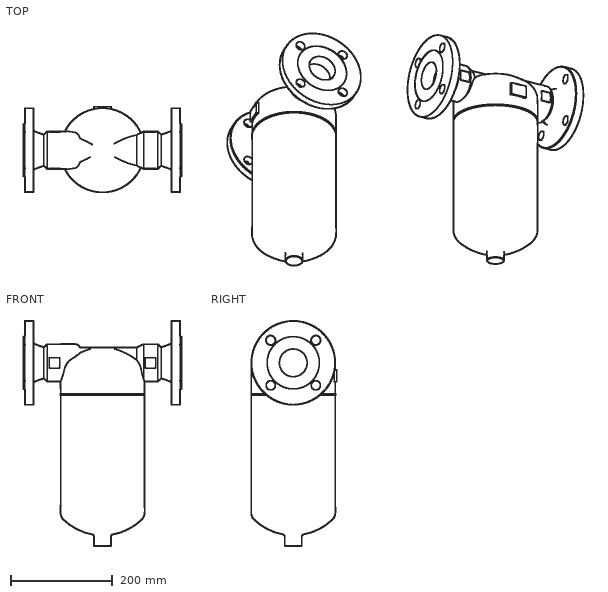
import cadquery as cq
import math


face_to_face = 310.0
flange_diameter = 165.0
flange_thickness = 17.5
flange_rim_chamfer = 1.5
raised_face_diameter = 102.5
raised_face_height = 2.5
bolt_hole_diameter = 18.0
bolt_circle_diameter = 125.2
bolt_count = 4
first_bolt_angle = 45
bore_diameter = 54.5
bore_depth = 28.0

hub_diameter = 73.0
hub_fillet = 3.5
neck_diameter = 61.5
neck_x = 115.0
socket_diameter = 74.0
socket_end_x = 109.0
pipe_diameter = 60.5

inlet_shoulder_x = -54.0
inlet_shoulder_radius = 10.0
inlet_root_fillet = 2.5
outlet_shoulder_x = 80.5
outlet_shoulder_length = 13.3

pad_size = 21.0
pad_corner_radius = 1.8
pad_center_x = 94.3

body_diameter = 165.0
bead_diameter = 166.0
top_crown_radius = 121.2
top_knuckle_radius = 28.0
bead_top_z = -60.5
bead_height = 2.5
skirt_top_z = -280.0
skirt_lip = 4.0
skirt_bottom_z = -293.5
bottom_crown_radius = 110.5
bottom_knuckle_radius = 20.5
drain_diameter = 34.0
drain_tip_diameter = 32.0
drain_root_fillet = 3.5
overall_height = 442.5

plate_width = 33.5
plate_top_z = -13.5
plate_bottom_z = -37.5
plate_face_y = 86.0

body_radius = body_diameter / 2
bead_radius = bead_diameter / 2
pipe_radius = pipe_diameter / 2
socket_radius = socket_diameter / 2
flange_radius = flange_diameter / 2
face_x = face_to_face / 2
flange_front_x = face_x - raised_face_height
flange_back_x = flange_front_x - flange_thickness
drain_tip_z = flange_radius - overall_height


def revolve_about_x(outline):
    return outline.close().revolve(360, (0, 0, 0), (1, 0, 0))


def polar_point(center, radius, angle):
    """Point at a given radius and angle from a centre."""
    return (center[0] + radius * math.cos(angle), center[1] + radius * math.sin(angle))


def make_pipe():
    """Slim pipe with a rounded inlet socket (-X) and a rounded outlet socket (+X)."""
    shoulder_center_r = socket_radius - inlet_shoulder_radius
    root_center_r = pipe_radius + inlet_root_fillet
    center_distance = inlet_shoulder_radius + inlet_root_fillet
    blend_angle = math.asin((root_center_r - shoulder_center_r) / center_distance)
    shoulder_center = (inlet_shoulder_x, shoulder_center_r)
    root_center = polar_point(shoulder_center, center_distance, blend_angle)
    blend_point = polar_point(shoulder_center, inlet_shoulder_radius, blend_angle)
    shoulder_mid = polar_point(shoulder_center, inlet_shoulder_radius, (blend_angle + math.pi / 2) / 2)
    root_mid = polar_point(root_center, inlet_root_fillet, (blend_angle + 2.5 * math.pi) / 2)

    outline = (
        cq.Workplane("XY")
        .moveTo(-neck_x, 0)
        .lineTo(-neck_x, neck_diameter / 2)
        .lineTo(-socket_end_x, socket_radius)
        .lineTo(inlet_shoulder_x, socket_radius)
        .threePointArc(shoulder_mid, blend_point)
        .threePointArc(root_mid, (root_center[0], pipe_radius))
        .lineTo(outlet_shoulder_x - outlet_shoulder_length, pipe_radius)
        .lineTo(outlet_shoulder_x, socket_radius)
        .lineTo(socket_end_x, socket_radius)
        .lineTo(neck_x, neck_diameter / 2)
        .lineTo(neck_x, 0)
    )
    return revolve_about_x(outline)


def make_flange():
    """Weld-neck flange on the +X end, with its bolt holes and blind bore."""
    hub_radius = hub_diameter / 2
    face_radius = raised_face_diameter / 2
    quarter = math.pi / 4
    hub_center = (flange_back_x - hub_fillet, hub_radius + hub_fillet)
    foot_center = (face_x, face_radius + raised_face_height)
    outline = (
        cq.Workplane("XY")
        .moveTo(neck_x, 0)
        .lineTo(neck_x, neck_diameter / 2)
        .lineTo(hub_center[0], hub_radius)
        .threePointArc(polar_point(hub_center, hub_fillet, -quarter), (flange_back_x, hub_center[1]))
        .lineTo(flange_back_x, flange_radius - flange_rim_chamfer)
        .lineTo(flange_back_x + flange_rim_chamfer, flange_radius)
        .lineTo(flange_front_x, flange_radius)
        .lineTo(flange_front_x, foot_center[1])
        .threePointArc(polar_point(foot_center, raised_face_height, 5 * quarter), (face_x, face_radius))
        .lineTo(face_x, 0)
    )
    bolt_holes = (
        cq.Workplane("YZ", origin=(flange_back_x, 0, 0))
        .polarArray(bolt_circle_diameter / 2, first_bolt_angle, 360, bolt_count)
        .circle(bolt_hole_diameter / 2)
        .extrude(flange_thickness + raised_face_height)
    )
    bore = (
        cq.Workplane("YZ", origin=(face_x - bore_depth, 0, 0))
        .circle(bore_diameter / 2)
        .extrude(bore_depth)
    )
    return revolve_about_x(outline).cut(bolt_holes).cut(bore)


def make_pads():
    """Square flats standing tangent to the front and rear of the +X socket."""
    return (
        cq.Workplane("XZ", origin=(pad_center_x, 0, 0))
        .rect(pad_size, pad_size)
        .extrude(socket_radius, both=True)
        .edges("|Y")
        .fillet(pad_corner_radius)
    )


def both_ends(shape):
    """The shape together with its mirror image on the -X end."""
    return shape.union(shape.mirror("YZ"))


def dish(radius, crown_radius, knuckle_radius):
    """Depth of a torispherical head, and its arc points (r, depth) from rim to crown centre."""
    center_distance = crown_radius - knuckle_radius
    knuckle_center = (radius - knuckle_radius, 0)
    join_angle = math.acos(knuckle_center[0] / center_distance)
    crown_center = (0, -center_distance * math.sin(join_angle))
    join = polar_point(knuckle_center, knuckle_radius, join_angle)
    knuckle_mid = polar_point(knuckle_center, knuckle_radius, join_angle / 2)
    crown_mid = polar_point(crown_center, crown_radius, (join_angle + math.pi / 2) / 2)
    depth = crown_center[1] + crown_radius
    return depth, knuckle_mid, join, crown_mid


def make_vessel():
    """Body with domed ends, weld bead and lower skirt, revolved about Z."""
    top_depth, top_knuckle, top_join, top_crown = dish(body_radius, top_crown_radius, top_knuckle_radius)
    low_depth, low_knuckle, low_join, low_crown = dish(bead_radius, bottom_crown_radius, bottom_knuckle_radius)
    rim_z = pipe_radius - top_depth

    def up(point):
        return (point[0], rim_z + point[1])

    def down(point):
        return (point[0], skirt_bottom_z - point[1])

    return (
        cq.Workplane("XZ")
        .moveTo(0, pipe_radius)
        .threePointArc(up(top_crown), up(top_join))
        .threePointArc(up(top_knuckle), (body_radius, rim_z))
        .lineTo(body_radius, bead_top_z)
        .lineTo(bead_radius, bead_top_z)
        .lineTo(bead_radius, bead_top_z - bead_height)
        .lineTo(body_radius, bead_top_z - bead_height)
        .lineTo(body_radius, skirt_top_z)
        .lineTo(bead_radius, skirt_top_z - skirt_lip)
        .lineTo(bead_radius, skirt_bottom_z)
        .threePointArc(down(low_knuckle), down(low_join))
        .threePointArc(down(low_crown), (0, skirt_bottom_z - low_depth))
        .close()
        .revolve(360, (0, 0, 0), (0, 1, 0))
    )


def make_drain():
    """Drain stub below the lower dome, with a chamfered tip."""
    return (
        cq.Workplane("XY", origin=(0, 0, drain_tip_z))
        .circle(drain_diameter / 2)
        .extrude(skirt_bottom_z - drain_tip_z)
        .faces("<Z")
        .chamfer((drain_diameter - drain_tip_diameter) / 2)
    )


def make_tank():
    """Vessel and drain stub joined with a small fillet."""
    depth = dish(bead_radius, bottom_crown_radius, bottom_knuckle_radius)[0]
    drain_root = cq.selectors.NearestToPointSelector((0, 0, skirt_bottom_z - depth))
    return make_vessel().union(make_drain()).edges(drain_root).fillet(drain_root_fillet)


def make_plate():
    """Flat badge on the +Y side of the vessel."""
    return cq.Workplane("XY", origin=(0, 0, plate_bottom_z)).box(
        plate_width, plate_face_y, plate_top_z - plate_bottom_z, centered=(True, False, False)
    )


result = (
    make_pipe()
    .union(both_ends(make_pads()))
    .union(make_tank())
    .union(make_plate())
    .union(both_ends(make_flange()))
)